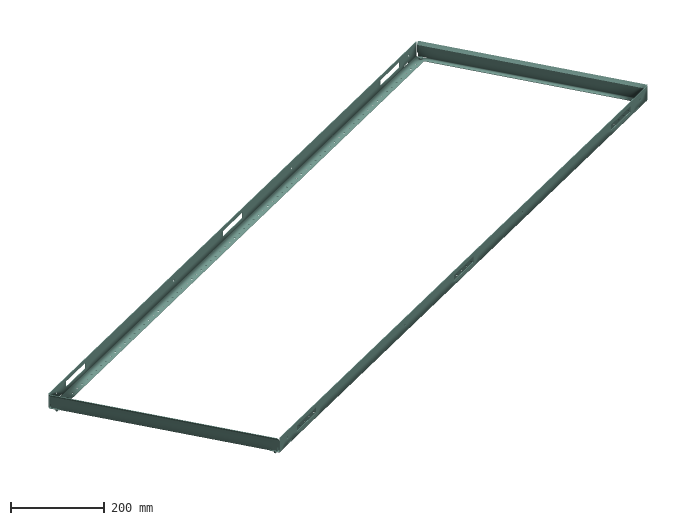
import cadquery as cq
import math

FRAME_LENGTH = 1940.0
FRAME_WIDTH = 543.0
FRAME_HEIGHT = 43.0

SHEET = 1.2
INNER_BEND = 1.65
OUTER_BEND = INNER_BEND + SHEET
FOOT_DROP = 6.8

LIP_REACH = 6.4
LIP_ANGLE = math.radians(45)
LIP_CUT = SHEET * math.sin(LIP_ANGLE)
LIP_SLANT = SHEET * math.tan(LIP_ANGLE / 2)
END_FLANGE = 14.2
END_INSET = 2.5
END_WIDTH = FRAME_WIDTH - 2 * END_INSET
NOTCH_WIDTH = 3.0
NOTCH_HEIGHT = 12.0

SIDE_FLANGE = 25.0
RAIL_LENGTH = FRAME_LENGTH - 2 * LIP_REACH

HOLE_SPAN = 1850.0
FLANGE_HOLES = 75
FLANGE_HOLE_DIAMETER = 4.0
FLANGE_HOLE_INSET = 16.3
WALL_HOLES = 4
WALL_HOLE_DIAMETER = 5.5
WALL_HOLE_DROP = 16.5

WINDOWS = 3
WINDOW_LENGTH = 100.0
WINDOW_HEIGHT = 13.2
WINDOW_SPACING = 825.0
SLIT_LENGTH = 25.0
SLIT_HEIGHT = 3.0
SLIT_INSET = 60.0

BOLT_INSET = 15.0
SHANK_DIAMETER = 4.7
HEAD_DIAMETER = 10.0
HEAD_HEIGHT = 4.0

FRAME_BOTTOM = -FRAME_HEIGHT / 2
SHEET_BOTTOM = FRAME_BOTTOM + FOOT_DROP
SHEET_TOP = FRAME_HEIGHT / 2
FLANGE_TOP = SHEET_BOTTOM + SHEET
BEND_TOP = SHEET_BOTTOM + OUTER_BEND
HOLE_LEVEL = SHEET_TOP - WALL_HOLE_DROP
BOLT_X = FRAME_WIDTH / 2 - BOLT_INSET
BOLT_Y = FRAME_LENGTH / 2 - BOLT_INSET


def spaced(count, span):
    """Evenly spaced positions, centred on zero."""
    return [span * (i / (count - 1) - 0.5) for i in range(count)]


def side_rail():
    """L-shaped rail along the -X side: a wall and a bottom flange."""
    outer = -FRAME_WIDTH / 2
    flange_edge = outer + SIDE_FLANGE
    rail = (
        cq.Workplane("XZ", origin=(0, RAIL_LENGTH / 2, 0))
        .moveTo(outer, SHEET_TOP)
        .lineTo(outer, BEND_TOP)
        .radiusArc((outer + OUTER_BEND, SHEET_BOTTOM), -OUTER_BEND)
        .lineTo(flange_edge, SHEET_BOTTOM)
        .lineTo(flange_edge, FLANGE_TOP)
        .lineTo(outer + OUTER_BEND, FLANGE_TOP)
        .radiusArc((outer + SHEET, BEND_TOP), INNER_BEND)
        .lineTo(outer + SHEET, SHEET_TOP)
        .close()
        .extrude(RAIL_LENGTH)
    )

    flange = cq.Workplane("XY", origin=(0, 0, SHEET_BOTTOM))
    hole_x = outer + FLANGE_HOLE_INSET
    flange_holes = flange.pushPoints([(hole_x, y) for y in spaced(FLANGE_HOLES, HOLE_SPAN)])
    rail = rail.cut(flange_holes.circle(FLANGE_HOLE_DIAMETER / 2).extrude(SHEET))
    bolt_holes = flange.pushPoints([(-BOLT_X, -BOLT_Y), (-BOLT_X, BOLT_Y)])
    rail = rail.cut(bolt_holes.circle(SHANK_DIAMETER / 2).extrude(SHEET))

    wall = cq.Workplane("YZ", origin=(outer, 0, 0))
    wall_holes = wall.pushPoints([(y, HOLE_LEVEL) for y in spaced(WALL_HOLES, HOLE_SPAN)])
    rail = rail.cut(wall_holes.circle(WALL_HOLE_DIAMETER / 2).extrude(SHEET))
    window_span = (WINDOWS - 1) * WINDOW_SPACING
    windows = wall.pushPoints([(y, HOLE_LEVEL) for y in spaced(WINDOWS, window_span)])
    rail = rail.cut(windows.rect(WINDOW_LENGTH, WINDOW_HEIGHT).extrude(SHEET))
    slit_y = FRAME_LENGTH / 2 - SLIT_INSET
    slit_level = BEND_TOP + SLIT_HEIGHT / 2
    slits = wall.pushPoints([(-slit_y, slit_level), (slit_y, slit_level)])
    return rail.cut(slits.rect(SLIT_LENGTH, SLIT_HEIGHT).extrude(SHEET))


def end_rail():
    """Rail along the -Y end: a flared lip, a wall and a flange between the side rails' flanges."""
    lip_edge = -FRAME_LENGTH / 2
    outer = lip_edge + LIP_REACH
    inner = outer + SHEET
    lip_bottom = SHEET_TOP - LIP_CUT - LIP_REACH
    flange_edge = outer + END_FLANGE
    rail = (
        cq.Workplane("YZ", origin=(-END_WIDTH / 2, 0, 0))
        .moveTo(lip_edge + LIP_CUT, SHEET_TOP)
        .lineTo(lip_edge, SHEET_TOP - LIP_CUT)
        .lineTo(outer, lip_bottom)
        .lineTo(outer, BEND_TOP)
        .radiusArc((outer + OUTER_BEND, SHEET_BOTTOM), -OUTER_BEND)
        .lineTo(flange_edge, SHEET_BOTTOM)
        .lineTo(flange_edge, FLANGE_TOP)
        .lineTo(outer + OUTER_BEND, FLANGE_TOP)
        .radiusArc((inner, BEND_TOP), INNER_BEND)
        .lineTo(inner, lip_bottom + LIP_SLANT)
        .close()
        .extrude(END_WIDTH)
    )

    bottom = cq.Workplane("XZ", origin=(0, outer, SHEET_BOTTOM))
    for side in (-1, 1):
        flange_room = bottom.center(side * FRAME_WIDTH / 2, 0).rect(2 * SIDE_FLANGE, 2 * OUTER_BEND)
        rail = rail.cut(flange_room.extrude(-END_FLANGE))
        notch = bottom.center(side * END_WIDTH / 2, 0).rect(2 * NOTCH_WIDTH, 2 * NOTCH_HEIGHT)
        rail = rail.cut(notch.extrude(-SHEET))
    return rail


def foot_bolt(x, y):
    """Bolt that hangs by its head through the side rail's flange."""
    head = cq.Workplane("XY", origin=(x, y, FLANGE_TOP)).circle(HEAD_DIAMETER / 2).extrude(HEAD_HEIGHT)
    shank = cq.Workplane("XY", origin=(x, y, FRAME_BOTTOM)).circle(SHANK_DIAMETER / 2)
    return head.union(shank.extrude(FOOT_DROP + SHEET))


rails = []
for rail in (side_rail(), end_rail()):
    for turn in (0, 180):
        rails.append(rail.rotate((0, 0, 0), (0, 0, 1), turn).val())

bolts = [foot_bolt(x, y).val() for x in (-BOLT_X, BOLT_X) for y in (-BOLT_Y, BOLT_Y)]

result = cq.Compound.makeCompound([*rails, *bolts])